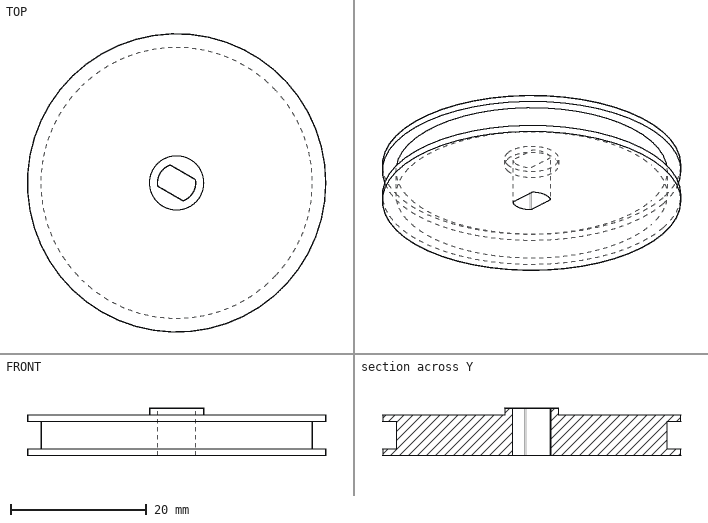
import cadquery as cq

flange_diameter = 44.0
flange_thickness = 1.0
core_diameter = 40.0
core_width = 4.0

hub_diameter = 8.0
hub_height = 1.0

bore_diameter = 5.6
bore_flat_distance = 3.6
bore_corner_radius = 0.25
bore_angle = -30.0

upper_flange_base = flange_thickness + core_width
upper_flange_top = upper_flange_base + flange_thickness
total_height = upper_flange_top + hub_height


def disc(diameter, base, height):
    """Return a cylinder on the Z axis that starts at the given base height."""
    return cq.Workplane("XY", origin=(0, 0, base)).circle(diameter / 2).extrude(height)


def shaft_hole():
    """Return the double-D cutter, with rounded corners, through the full height."""
    flats = cq.Workplane("XY").rect(bore_diameter, bore_flat_distance).extrude(total_height)
    cutter = disc(bore_diameter, 0, total_height).intersect(flats)
    cutter = cutter.edges("|Z").fillet(bore_corner_radius)
    return cutter.rotate((0, 0, 0), (0, 0, 1), bore_angle)


lower_flange = disc(flange_diameter, 0, flange_thickness)
core = disc(core_diameter, flange_thickness, core_width)
upper_flange = disc(flange_diameter, upper_flange_base, flange_thickness)
hub = disc(hub_diameter, upper_flange_top, hub_height)

spool = lower_flange.union(core).union(upper_flange).union(hub)
result = spool.cut(shaft_hole())